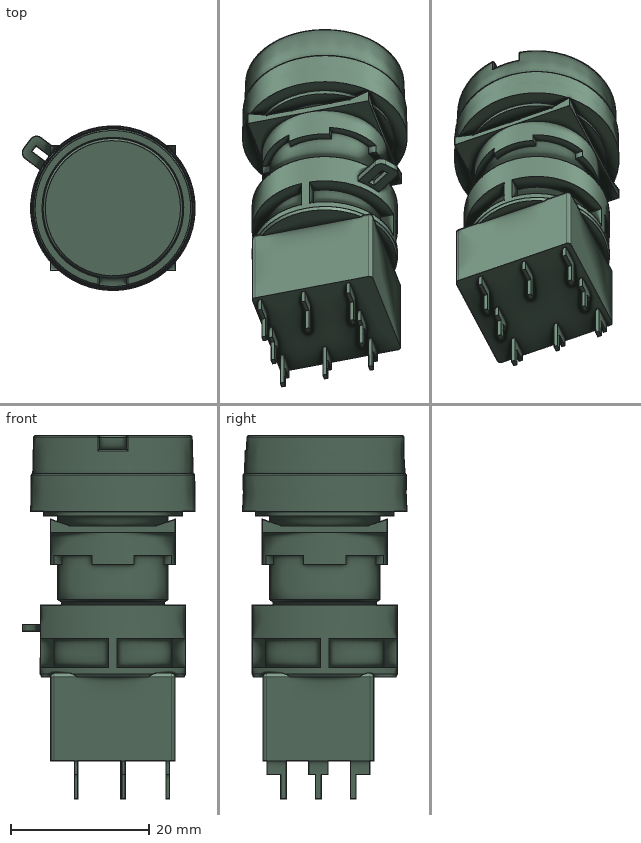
import cadquery as cq
import math

total_height = 52.5
head_bottom = 41.55
flange_bottom = 40.9
lock_plate_bottom = 38.5
lock_ring_bottom = 33.85
neck_bottom = 28.8
base_top = 28.0
base_bottom = 17.6
block_top = 18.15
block_bottom = 5.5

head_bottom_diameter = 23.8
head_bottom_radius = head_bottom_diameter / 2
head_step_radius = 11.8
head_upper_radius = 11.6
head_top_radius = 11.45
head_step_bottom = 46.8
head_step_top = 47.05
head_edge_bevel = 0.2
face_groove_outer_radius = 10.25
face_groove_root_radius = 10.1
face_groove_inner_radius = 9.75
face_groove_depth = 0.3
notch_half_width = 1.95
notch_floor = 50.5

lock_half_width = 9.05
dish_floor = 39.45
dish_floor_radius = 10.85
lock_corner_top = 40.4
tooth_half_width = 3.05
tooth_height = 1.3

flange_radius = 10.05
neck_radius = 8.0
relief_radius = 7.45
relief_bevel_height = 0.35
base_radius = 10.5
base_bevel_width = 0.2
base_bevel_height = 0.45
window_floor_radius = 8.55
window_bottom = 19.0
window_top = 23.15
window_post_half_width = 0.65

lever_angle = 143.0
lever_reach = 15.5
lever_width = 3.8
lever_corner_radius = 1.05
lever_bottom = 24.2
lever_thickness = 1.0
lever_slot_start = 11.0
lever_slot_end = 14.3
lever_slot_width = 1.0

block_width = 18.0
block_depth = 16.0
block_front_y = -8.9
block_center_y = block_front_y + block_depth / 2
block_edge_radius = 0.5

terminal_thickness = 0.5
terminal_shoulder_width = 2.85
terminal_shoulder_bottom = 3.5
terminal_pin_width = 0.85
terminal_row_pitch = 6.05
outer_column_offset = 6.6
outer_columns_x = 1.3
middle_column_x = 1.45
middle_column_stagger = 0.08


def revolve_profile(points):
    """Revolve a closed (radius, height) outline about the Z axis."""
    return cq.Workplane("XZ").polyline(points).close().revolve(360, (0, 0, 0), (0, 1, 0))


def cylinder(radius, bottom, top):
    return cq.Workplane("XY", origin=(0, 0, bottom)).circle(radius).extrude(top - bottom)


def box_between(x_range, y_range, z_range):
    """Box spanning the given (low, high) ranges."""
    size = [high - low for low, high in (x_range, y_range, z_range)]
    corner = (x_range[0], y_range[0], z_range[0])
    return cq.Workplane("XY").box(*size, centered=False).translate(corner)


def four_corner_cut(inner_half, outer_half, bottom, top):
    """Four square-cornered blocks that leave a plus-shaped web along X and Y."""
    side = outer_half - inner_half
    middle = (outer_half + inner_half) / 2
    corners = [(sx * middle, sy * middle) for sx in (-1, 1) for sy in (-1, 1)]
    level = cq.Workplane("XY", origin=(0, 0, bottom))
    return level.pushPoints(corners).rect(side, side).extrude(top - bottom)


def make_notch():
    """Pry notch at the -Y edge, from the button wall outward."""
    x_range = (-notch_half_width, notch_half_width)
    slab = box_between(x_range, (-head_bottom_radius, 0), (notch_floor, total_height))
    button = cylinder(face_groove_root_radius, head_bottom, total_height)
    return slab.cut(button)


def make_head():
    """Tapered bezel; its top edge and the rim of the notch share one bevel."""
    head = revolve_profile([
        (0, head_bottom),
        (head_bottom_radius, head_bottom),
        (head_step_radius, head_step_bottom),
        (head_upper_radius, head_step_top),
        (head_top_radius, total_height),
        (0, total_height),
    ])
    head = head.cut(make_notch())
    notch_mouth = cq.selectors.BoxSelector(
        (-head_bottom_radius, -head_bottom_radius, head_step_top),
        (head_bottom_radius, -head_top_radius + head_edge_bevel, total_height - head_edge_bevel),
    )
    rim = head.edges(">Z").add(head.edges(notch_mouth))
    head = rim.chamfer(head_edge_bevel)
    face_groove = revolve_profile([
        (face_groove_outer_radius, total_height),
        (face_groove_root_radius, total_height - face_groove_depth),
        (face_groove_inner_radius, total_height),
    ])
    return head.cut(face_groove)


def make_lock_ring():
    width = 2 * lock_half_width
    corner_reach = math.hypot(lock_half_width, lock_half_width)
    plate_level = cq.Workplane("XY", origin=(0, 0, lock_plate_bottom))
    plate = plate_level.rect(width, width).extrude(lock_corner_top - lock_plate_bottom)
    dish = revolve_profile([
        (0, dish_floor),
        (dish_floor_radius, dish_floor),
        (corner_reach, lock_corner_top),
        (0, lock_corner_top),
    ])
    collar = cylinder(lock_half_width, lock_ring_bottom, lock_plate_bottom)
    tooth_gaps = four_corner_cut(
        tooth_half_width, lock_half_width, lock_ring_bottom, lock_ring_bottom + tooth_height
    )
    bore = cylinder(neck_radius, lock_ring_bottom, lock_corner_top)
    return plate.cut(dish).union(collar).cut(tooth_gaps).cut(bore)


def make_turned_body():
    """Flange, neck, relief and round base on the common axis."""
    return revolve_profile([
        (0, base_bottom),
        (base_radius - base_bevel_width, base_bottom),
        (base_radius, base_bottom + base_bevel_height),
        (base_radius, base_top),
        (relief_radius, base_top),
        (relief_radius, neck_bottom - relief_bevel_height),
        (neck_radius, neck_bottom),
        (neck_radius, flange_bottom),
        (flange_radius, flange_bottom),
        (flange_radius, head_bottom),
        (0, head_bottom),
    ])


def make_windows():
    """Four recesses round the base, parted by posts on the X and Y axes."""
    quadrants = four_corner_cut(window_post_half_width, base_radius, window_bottom, window_top)
    return quadrants.cut(cylinder(window_floor_radius, window_bottom, window_top))


def make_lever():
    """Flat slotted lever reaching radially out of the base."""
    start = window_floor_radius
    level = cq.Workplane("XY", origin=(0, 0, lever_bottom))
    blade = (
        level.center((start + lever_reach) / 2, 0)
        .rect(lever_reach - start, lever_width)
        .extrude(lever_thickness)
        .edges("|Z and >X")
        .fillet(lever_corner_radius)
    )
    slot = (
        level.center((lever_slot_start + lever_slot_end) / 2, 0)
        .rect(lever_slot_end - lever_slot_start, lever_slot_width)
        .extrude(lever_thickness)
    )
    return blade.cut(slot).rotate((0, 0, 0), (0, 0, 1), lever_angle)


def make_terminal_block():
    level = cq.Workplane("XY", origin=(0, block_center_y, block_bottom))
    block = level.rect(block_width, block_depth).extrude(block_top - block_bottom)
    return block.edges("|Z or >Z").fillet(block_edge_radius)


def make_terminal(x, row):
    """Shouldered blade in row -1, 0 or 1; in the outer rows the pin is flush with the inward side."""
    shoulder_y = block_center_y + row * terminal_row_pitch
    pin_y = shoulder_y - row * (terminal_shoulder_width - terminal_pin_width) / 2
    x_range = (x - terminal_thickness / 2, x + terminal_thickness / 2)
    shoulder = box_between(
        x_range,
        (shoulder_y - terminal_shoulder_width / 2, shoulder_y + terminal_shoulder_width / 2),
        (terminal_shoulder_bottom, block_bottom),
    )
    pin = box_between(
        x_range,
        (pin_y - terminal_pin_width / 2, pin_y + terminal_pin_width / 2),
        (0, block_bottom),
    )
    return shoulder.union(pin)


def make_body():
    body = make_turned_body().cut(make_windows())
    body = body.union(make_lever()).union(make_terminal_block())
    for side in (-1, 1):
        for row in (-1, 0, 1):
            body = body.union(make_terminal(outer_columns_x + side * outer_column_offset, row))
    for row in (-1, 1):
        body = body.union(make_terminal(middle_column_x - row * middle_column_stagger, row))
    return body


head = make_head()
lock_ring = make_lock_ring()
body = make_body()

result = cq.Compound.makeCompound([head.val(), lock_ring.val(), body.val()])